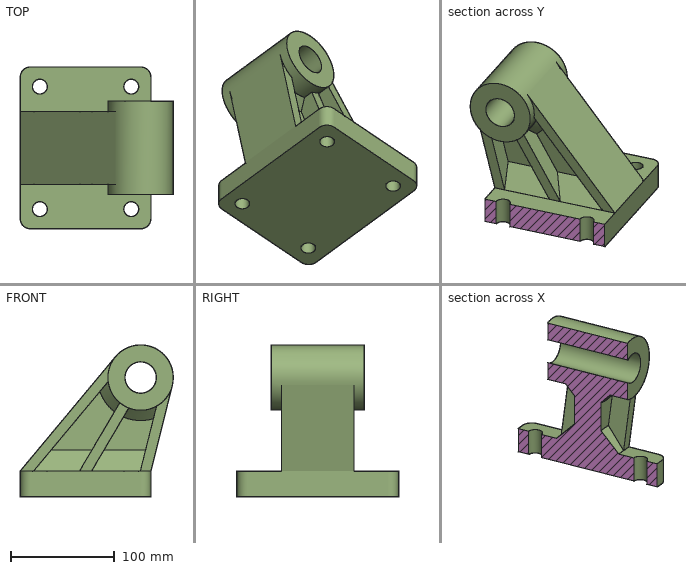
import cadquery as cq
import math

plate_length = 126.0
plate_width = 156.0
plate_height = 25.0
corner_radius = 10.0
hole_diameter = 14.0
hole_inset = 19.0

hub_diameter = 63.0
hub_length = 90.0
bore_diameter = 30.0
overall_length = 147.5
overall_height = 146.5

support_width = 70.0
web_thickness = 30.0
wall_thickness = 10.0
hub_flare = 10.0

hub_radius = hub_diameter / 2
hub_x = overall_length - hub_radius
hub_z = overall_height - hub_radius
hub_centre = (hub_x, hub_z)
pocket_depth = (support_width - web_thickness) / 2
left_foot = (0, plate_height)
middle_foot = (plate_length / 2, plate_height)
right_foot = (plate_length, plate_height)


def tangent_point(foot, side):
    """Point where a line from foot touches the hub; side is +1 on the left, -1 on the right."""
    dx = foot[0] - hub_x
    dz = foot[1] - hub_z
    angle = math.atan2(dz, dx) - side * math.acos(hub_radius / math.hypot(dx, dz))
    return (hub_x + hub_radius * math.cos(angle), hub_z + hub_radius * math.sin(angle))


def prism(points, width):
    """Extrude an XZ outline symmetrically about Y = 0."""
    return cq.Workplane("XZ").polyline(points).close().extrude(width / 2, both=True)


def wall(foot, end, left_offset, right_offset):
    """Straight wall along foot-end, run on below the plate top so that it can be trimmed."""
    dx = end[0] - foot[0]
    dz = end[1] - foot[1]
    length = math.hypot(dx, dz)
    ux = dx / length
    uz = dz / length
    low = (foot[0] - ux * plate_height, foot[1] - uz * plate_height)
    points = [
        (x + uz * offset, z - ux * offset)
        for (x, z), offset in (
            (low, -left_offset), (end, -left_offset), (end, right_offset), (low, right_offset)
        )
    ]
    return prism(points, support_width)


def base_plate():
    plate = cq.Workplane("XY").box(plate_length, plate_width, plate_height, centered=(False, True, False))
    plate = plate.edges("|Z").fillet(corner_radius)
    holes = (
        cq.Workplane("XY")
        .center(plate_length / 2, 0)
        .rect(plate_length - 2 * hole_inset, plate_width - 2 * hole_inset, forConstruction=True)
        .vertices()
        .circle(hole_diameter / 2)
        .extrude(plate_height)
    )
    return plate.cut(holes)


def web_foot():
    """Sloping faces that widen the web to the full support width at the plate."""
    profile = [
        (-support_width / 2, plate_height),
        (support_width / 2, plate_height),
        (web_thickness / 2, plate_height + pocket_depth),
        (-web_thickness / 2, plate_height + pocket_depth),
    ]
    return cq.Workplane("YZ").polyline(profile).close().extrude(plate_length)


def hub_flares():
    """Cones on both sides of the web, narrowing outward to the hub diameter."""
    start_y = web_thickness / 2 + hub_flare
    profile = [
        (0, -start_y),
        (hub_radius, -start_y),
        (hub_radius + hub_flare, -web_thickness / 2),
        (hub_radius + hub_flare, web_thickness / 2),
        (hub_radius, start_y),
        (0, start_y),
    ]
    cones = cq.Workplane("XY").polyline(profile).close().revolve(360, (0, 0, 0), (0, 1, 0))
    return cones.translate((hub_x, 0, hub_z))


def support():
    left_tangent = tangent_point(left_foot, 1)
    right_tangent = tangent_point(right_foot, -1)
    outline = [left_foot, left_tangent, hub_centre, right_tangent, right_foot]
    body = prism(outline, web_thickness).union(web_foot()).union(hub_flares())
    body = body.union(wall(left_foot, left_tangent, 0, wall_thickness))
    body = body.union(wall(middle_foot, hub_centre, wall_thickness / 2, wall_thickness / 2))
    body = body.union(wall(right_foot, right_tangent, wall_thickness, 0))
    return body.intersect(prism(outline, support_width))


def hub_cylinder(diameter):
    cylinder = cq.Workplane("XZ").circle(diameter / 2).extrude(hub_length / 2, both=True)
    return cylinder.translate((hub_x, 0, hub_z))


result = base_plate().union(support()).union(hub_cylinder(hub_diameter)).cut(hub_cylinder(bore_diameter))